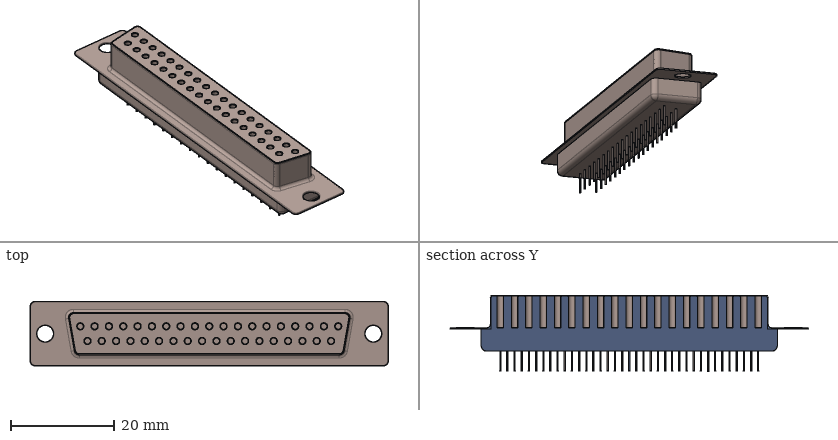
import cadquery as cq
import math

SHELL_EDGE_RADIUS = 0.105

FLANGE_LENGTH = 69.4
FLANGE_WIDTH = 12.5
FLANGE_THICKNESS = 0.31
FLANGE_CORNER_RADIUS = 1.0
MOUNTING_HOLE_DIAMETER = 3.2
MOUNTING_HOLE_SPACING = 63.6

SHROUD_HEIGHT = 6.0
SHROUD_WIDTH = 8.2
SHROUD_MEAN_LENGTH = 53.45
SHROUD_SIDE_ANGLE = 10.0
SHROUD_CORNER_RADIUS = 1.0
SHROUD_WALL = 0.2
SHROUD_FOOT_RADIUS = 0.6

BLOCK_LENGTH = 57.45
BLOCK_WIDTH = 10.3
BLOCK_HEIGHT = 4.27
BLOCK_EDGE_RADIUS = 1.1

CORE_HEIGHT = 6.2

CONTACT_PITCH = 2.8
ROW_SPACING = 2.85
BACK_ROW_COUNT = 19
FRONT_ROW_COUNT = BACK_ROW_COUNT - 1
SOCKET_DIAMETER = 1.2
SOCKET_MOUTH_CHAMFER = 0.105
SOCKET_DEPTH = CORE_HEIGHT
PIN_DIAMETER = 0.3
LONG_PIN_EXTRA = 0.15
LONG_PIN_INDEX = 3
OVERALL_HEIGHT = 14.7

FLANGE_BOTTOM = -FLANGE_THICKNESS
BLOCK_BOTTOM = FLANGE_BOTTOM - BLOCK_HEIGHT
LONG_PIN_LENGTH = OVERALL_HEIGHT - CORE_HEIGHT + BLOCK_BOTTOM
PIN_LENGTH = LONG_PIN_LENGTH - LONG_PIN_EXTRA


def d_prism(inset, bottom, top):
    """D-shaped prism whose outline lies `inset` inside the outer face of the shroud."""
    angle = math.radians(SHROUD_SIDE_ANGLE)
    half_width = SHROUD_WIDTH / 2 - inset
    half_mean = SHROUD_MEAN_LENGTH / 2 - inset / math.cos(angle)
    lean = half_width * math.tan(angle)
    outline = [
        (-half_mean + lean, -half_width),
        (half_mean - lean, -half_width),
        (half_mean + lean, half_width),
        (-half_mean - lean, half_width),
    ]
    prism = cq.Workplane("XY").workplane(offset=bottom).polyline(outline).close().extrude(top - bottom)
    return prism.edges("|Z").fillet(SHROUD_CORNER_RADIUS - inset)


def cylinders(positions, diameter, bottom, length):
    """One upright cylinder at every given position."""
    return (
        cq.Workplane("XY")
        .workplane(offset=bottom)
        .pushPoints(positions)
        .circle(diameter / 2)
        .extrude(length)
    )


def make_flange():
    """Rounded flange plate with a mounting hole at each end; its upper edges are rounded."""
    flange = (
        cq.Workplane("XY")
        .workplane(offset=FLANGE_BOTTOM)
        .rect(FLANGE_LENGTH, FLANGE_WIDTH)
        .extrude(FLANGE_THICKNESS)
        .edges("|Z")
        .fillet(FLANGE_CORNER_RADIUS)
    )
    hole_centers = [(-MOUNTING_HOLE_SPACING / 2, 0), (MOUNTING_HOLE_SPACING / 2, 0)]
    flange = flange.cut(cylinders(hole_centers, MOUNTING_HOLE_DIAMETER, FLANGE_BOTTOM, FLANGE_THICKNESS))
    return flange.faces(">Z").edges().fillet(SHELL_EDGE_RADIUS)


def make_shell():
    """Metal flange and shroud in one piece, open right through for the insulator."""
    shroud = d_prism(0, FLANGE_BOTTOM, SHROUD_HEIGHT).faces(">Z").edges().fillet(SHELL_EDGE_RADIUS)
    shell = make_flange().union(shroud)

    half_length = MOUNTING_HOLE_SPACING / 2 - MOUNTING_HOLE_DIAMETER
    half_width = SHROUD_WIDTH / 2 + SHROUD_WALL
    foot_edges = cq.selectors.BoxSelector(
        (-half_length, -half_width, -SHROUD_WALL),
        (half_length, half_width, SHROUD_WALL),
    )
    shell = shell.edges(foot_edges).fillet(SHROUD_FOOT_RADIUS)
    return shell.cut(d_prism(SHROUD_WALL, FLANGE_BOTTOM, SHROUD_HEIGHT))


def row_positions(count, y):
    """Centres of one contact row, centred on X = 0."""
    return [((index - (count - 1) / 2) * CONTACT_PITCH, y) for index in range(count)]


BACK_ROW = row_positions(BACK_ROW_COUNT, ROW_SPACING / 2)
FRONT_ROW = row_positions(FRONT_ROW_COUNT, -ROW_SPACING / 2)
CONTACTS = BACK_ROW + FRONT_ROW


def make_insulator():
    """Rear block, core filling the shroud, sockets in its face and pins below."""
    block = (
        cq.Workplane("XY")
        .workplane(offset=BLOCK_BOTTOM)
        .rect(BLOCK_LENGTH, BLOCK_WIDTH)
        .extrude(BLOCK_HEIGHT)
        .edges("|Z")
        .fillet(BLOCK_EDGE_RADIUS)
        .faces("<Z")
        .edges()
        .fillet(BLOCK_EDGE_RADIUS)
    )
    core = d_prism(SHROUD_WALL, FLANGE_BOTTOM, CORE_HEIGHT)
    sockets = cylinders(CONTACTS, SOCKET_DIAMETER, CORE_HEIGHT - SOCKET_DEPTH, SOCKET_DEPTH)
    core = core.cut(sockets)

    top_circles = core.faces(">Z").edges("%CIRCLE")
    mouths = top_circles.filter(lambda edge: edge.IsClosed())
    core = mouths.chamfer(SOCKET_MOUTH_CHAMFER)

    pins = cylinders(CONTACTS, PIN_DIAMETER, BLOCK_BOTTOM - PIN_LENGTH, PIN_LENGTH)
    long_pin = cylinders(
        [FRONT_ROW[LONG_PIN_INDEX]], PIN_DIAMETER, BLOCK_BOTTOM - LONG_PIN_LENGTH, LONG_PIN_LENGTH
    )
    return block.union(core).union(pins).union(long_pin)


shell = make_shell()
insulator = make_insulator()
result = cq.Compound.makeCompound([shell.val(), insulator.val()])